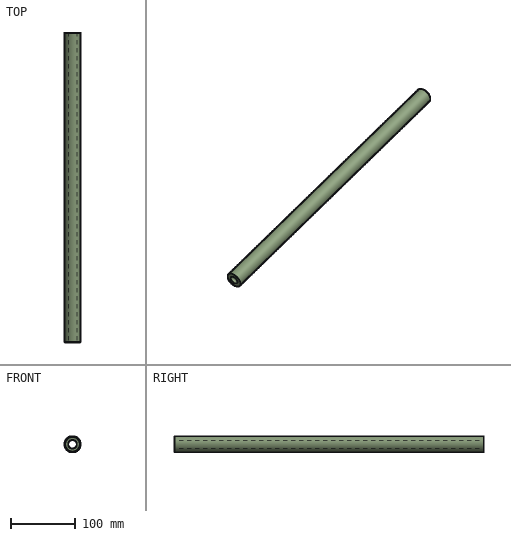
import cadquery as cq

length = 482.5
outer_diameter = 25.5
bore_diameter = 13.0
end_chamfer = 1.4

bar = (
    cq.Workplane("XZ", origin=(0, length / 2, 0))
    .circle(outer_diameter / 2)
    .extrude(length)
    .faces("<Y")
    .chamfer(end_chamfer)
)

result = bar.faces("<Y").workplane().hole(bore_diameter)